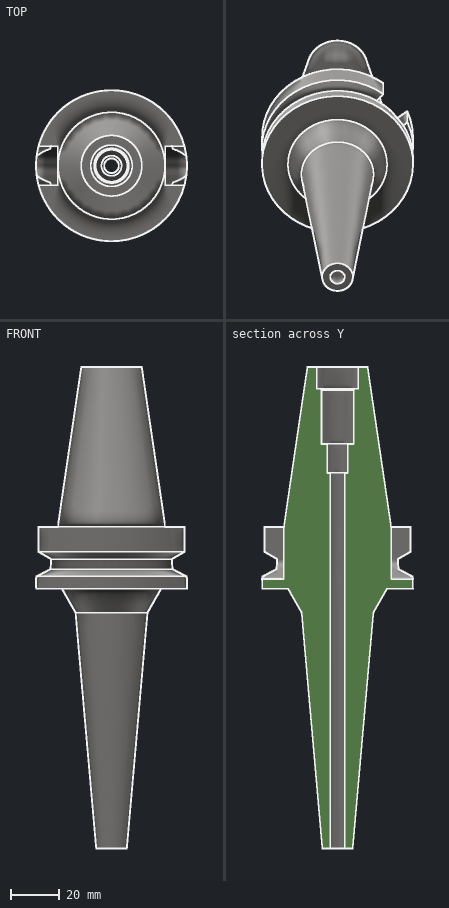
import cadquery as cq

total_height = 200.5
gauge_z = total_height - 65.3
flange_top_z = total_height - 66.5
flange_bottom_z = total_height - 92.4
neck_z = total_height - 102.2

shank_top_radius = 12.6
gauge_radius = 22.2
flange_radius = 31.5
groove_radius = 26.5
collar_radius = 20.6
neck_radius = 15.0
tip_radius = 6.5

upper_rim_height = 10.5
lower_rim_height = 5.2
groove_flank_height = 3.0

slot_width = 16.2
slot_depth = 21.6
slot_floor_x = 22.5

pocket_radius = 8.6
pocket_depth = 9.0
thread_radius = 6.6
thread_chamfer = 0.6
thread_depth = 32.0
relief_radius = 4.2
relief_depth = 44.0
through_radius = 3.0


def make_body():
    """Revolve the outside profile, drawn as radius against height."""
    upper_rim_z = flange_top_z - upper_rim_height
    lower_rim_z = flange_bottom_z + lower_rim_height
    profile = [
        (0, 0),
        (tip_radius, 0),
        (neck_radius, neck_z),
        (collar_radius, flange_bottom_z),
        (flange_radius, flange_bottom_z),
        (flange_radius, lower_rim_z),
        (groove_radius, lower_rim_z + groove_flank_height),
        (groove_radius, upper_rim_z - groove_flank_height),
        (flange_radius, upper_rim_z),
        (flange_radius, flange_top_z),
        (gauge_radius, flange_top_z),
        (gauge_radius, gauge_z),
        (shank_top_radius, total_height),
        (0, total_height),
    ]
    return cq.Workplane("XZ").polyline(profile).close().revolve(360, (0, 0), (0, 1))


def make_drive_slot(side):
    """Cutter for the drive slot on the +X (side = 1) or -X (side = -1) flank."""
    end_radius = slot_width / 2
    arc_center_z = flange_top_z - slot_depth + end_radius
    return (
        cq.Workplane("YZ", origin=(side * slot_floor_x, 0, 0))
        .moveTo(-end_radius, flange_top_z)
        .lineTo(-end_radius, arc_center_z)
        .threePointArc((0, flange_top_z - slot_depth), (end_radius, arc_center_z))
        .lineTo(end_radius, flange_top_z)
        .close()
        .extrude(side * flange_radius)
    )


def make_bore_step(radius, depth):
    """Cylindrical cutter reaching down from the shank end."""
    return cq.Workplane("XY", origin=(0, 0, total_height)).circle(radius).extrude(-depth)


result = make_body()

for side in (-1, 1):
    result = result.cut(make_drive_slot(side))

for radius, depth in (
    (pocket_radius, pocket_depth),
    (thread_radius, thread_depth),
    (relief_radius, relief_depth),
    (through_radius, total_height),
):
    result = result.cut(make_bore_step(radius, depth))

thread_lead_in = cq.Workplane(
    cq.Solid.makeCone(
        thread_radius,
        thread_radius + thread_chamfer,
        thread_chamfer,
        pnt=cq.Vector(0, 0, total_height - pocket_depth - thread_chamfer),
    )
)
result = result.cut(thread_lead_in)